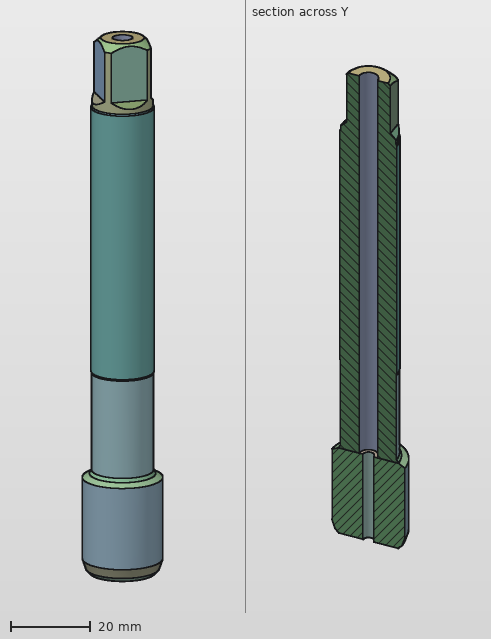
import cadquery as cq

total_length = 140.0

head_diameter = 20.3
head_shoulder_z = 24.9
head_top_diameter = 16.7
head_top_z = 25.9
lead_diameter = 18.6
lead_height = 3.6
tip_diameter = 16.5
tip_height = 1.1
head_bore_diameter = 3.0

shank_diameter = 16.0
neck_diameter = 15.7
drive_diameter = 15.4
neck_flare_height = 1.0
neck_top_z = 52.4
shoulder_bottom_z = 121.8
step_height = 0.4
end_face_diameter = 10.9
end_chamfer_height = 2.0
shank_bore_diameter = 5.0

square_width = 12.2
square_bottom_z = 125.0


def revolve_profile(points):
    """Turn a closed (radius, z) outline around the Z axis."""
    return cq.Workplane("XZ").polyline(points).close().revolve(360, (0, 0, 0), (0, 1, 0))


def make_head():
    """Cylinder with a tapered lower end, a conical shoulder and a narrow through bore."""
    bore_radius = head_bore_diameter / 2
    return revolve_profile([
        (bore_radius, 0),
        (tip_diameter / 2, 0),
        (lead_diameter / 2, tip_height),
        (head_diameter / 2, lead_height),
        (head_diameter / 2, head_shoulder_z),
        (head_top_diameter / 2, head_top_z),
        (bore_radius, head_top_z),
    ])


def make_square_cutter():
    """Material outside the square: flats running out downwards on 45 degree slopes."""
    runout_width = drive_diameter
    runout_height = (runout_width - square_width) / 2
    square_height = total_length - square_bottom_z
    drive = (
        cq.Workplane()
        .workplane(offset=square_bottom_z)
        .rect(square_width, square_width)
        .extrude(square_height)
    )
    runout = (
        cq.Workplane()
        .workplane(offset=square_bottom_z - runout_height)
        .rect(runout_width, runout_width)
        .workplane(offset=runout_height)
        .rect(square_width, square_width)
        .loft(ruled=True)
    )
    blank = (
        cq.Workplane()
        .workplane(offset=square_bottom_z - runout_height)
        .rect(2 * runout_width, 2 * runout_width)
        .extrude(square_height + runout_height)
    )
    return blank.cut(runout).cut(drive)


def make_shank():
    """Bored shank with a relieved neck, a stepped upper shoulder and a square drive end."""
    bore_radius = shank_bore_diameter / 2
    neck_radius = neck_diameter / 2
    drive_radius = drive_diameter / 2
    shank_radius = shank_diameter / 2
    turned = revolve_profile([
        (bore_radius, head_top_z),
        (head_top_diameter / 2, head_top_z),
        (neck_radius, head_top_z + neck_flare_height),
        (neck_radius, neck_top_z),
        (shank_radius, neck_top_z + step_height),
        (shank_radius, shoulder_bottom_z),
        (drive_radius, shoulder_bottom_z + step_height),
        (drive_radius, total_length - end_chamfer_height),
        (end_face_diameter / 2, total_length),
        (bore_radius, total_length),
    ])
    return turned.cut(make_square_cutter())


head = make_head()
shank = make_shank()
result = cq.Compound.makeCompound([head.val(), shank.val()])